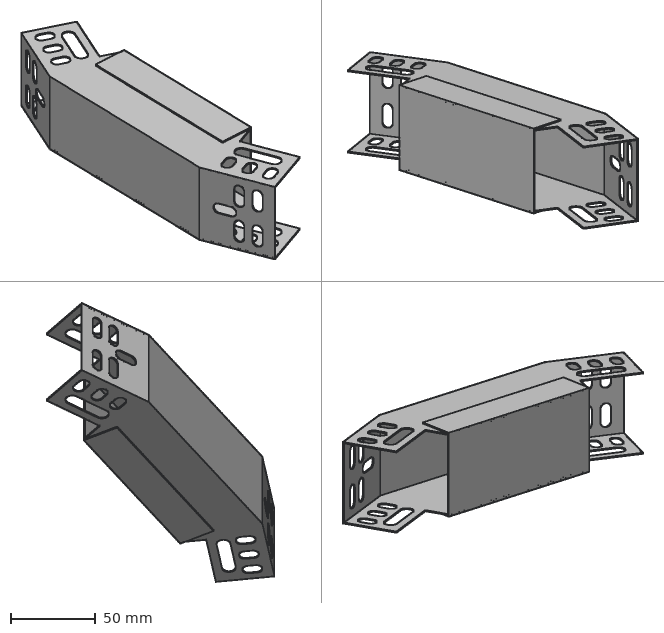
import cadquery as cq
import math

overall_length = 221.8
overall_height = 53.2
sheet = 0.8

arm_angle = 22.5
bend_x = 65.5
flange_width = 35.0
arm_flange_length = 39.3

cover_length = 111.1
cover_back_y = 50.5
cover_flange_depth = 22.8

short_slot_width = 6.9
short_slot_length = 11.8
short_slot_end_distance = 8.5
short_slot_pitch = 13.5
short_slot_count = 3
short_slot_offset = 12.0
long_slot_width = 8.2
long_slot_length = 30.0
long_slot_end_distance = 22.8
long_slot_offset = 25.5

upright_slot_width = 6.7
upright_slot_length = 15.0
upright_slot_end_distances = (11.3, 23.3)
upright_slot_z = 12.5
level_slot_width = 6.9
level_slot_length = 14.9
level_slot_end_distance = 32.5

angle = math.radians(arm_angle)
channel_height = overall_height - 2 * sheet
channel_back_y = cover_back_y - sheet
arm_length = (overall_length / 2 - bend_x) / math.cos(angle)
clear = 11.0


def arm_point(along, across):
    """XY point of the right arm: along its web from the bend, across toward the rear."""
    x = bend_x + along * math.cos(angle) - across * math.sin(angle)
    y = along * math.sin(angle) + across * math.cos(angle)
    return (x, y)


def mirrored_prism(right_points, height):
    """Prism about mid-height; its outline is the right half plus its mirror image."""
    left_points = [(-x, y) for x, y in reversed(right_points)]
    outline = cq.Workplane("XY").polyline(right_points + left_points).close()
    return outline.extrude(height / 2, both=True)


def channel_blank():
    """Bent U channel: web at the front, flanges above and below, open at the rear."""
    notch = arm_point(arm_length - arm_flange_length, flange_width)
    notch_top_x = notch[0] - (channel_back_y - notch[1]) * math.tan(angle)
    outer = [
        (bend_x, 0),
        arm_point(arm_length, 0),
        arm_point(arm_length, flange_width),
        notch,
        (notch_top_x, channel_back_y),
    ]
    inner = [
        (bend_x - sheet * math.tan(angle / 2), sheet),
        arm_point(arm_length + clear, sheet),
        arm_point(arm_length + clear, flange_width + clear),
    ]
    cavity = mirrored_prism(inner, channel_height - 2 * sheet)
    return mirrored_prism(outer, channel_height).cut(cavity)


def flange_slots():
    """Cutters through both flanges of the right arm."""
    plane = cq.Plane(
        origin=(*arm_point(arm_length, 0), 0),
        xDir=(-math.cos(angle), -math.sin(angle), 0),
        normal=(0, 0, 1),
    )
    short_centres = [
        (short_slot_end_distance + i * short_slot_pitch, -short_slot_offset)
        for i in range(short_slot_count)
    ]
    short_slots = (
        cq.Workplane(plane)
        .pushPoints(short_centres)
        .slot2D(short_slot_length, short_slot_width, 90)
        .extrude(channel_height, both=True)
    )
    long_slot = (
        cq.Workplane(plane)
        .center(long_slot_end_distance, -long_slot_offset)
        .slot2D(long_slot_length, long_slot_width)
        .extrude(channel_height, both=True)
    )
    return short_slots.add(long_slot).combine()


def web_slots():
    """Cutters through the web of the right arm."""
    plane = cq.Plane(
        origin=(*arm_point(arm_length, 0), 0),
        xDir=(-math.cos(angle), -math.sin(angle), 0),
        normal=(-math.sin(angle), math.cos(angle), 0),
    )
    upright_centres = [
        (distance, side * upright_slot_z)
        for distance in upright_slot_end_distances
        for side in (-1, 1)
    ]
    upright_slots = (
        cq.Workplane(plane)
        .pushPoints(upright_centres)
        .slot2D(upright_slot_length, upright_slot_width, 90)
        .extrude(2 * sheet, both=True)
    )
    level_slot = (
        cq.Workplane(plane)
        .center(level_slot_end_distance, 0)
        .slot2D(level_slot_length, level_slot_width)
        .extrude(2 * sheet, both=True)
    )
    return upright_slots.add(level_slot).combine()


def make_channel():
    """Bent channel with the same slots in both arms."""
    channel = channel_blank()
    for slots in (flange_slots(), web_slots()):
        channel = channel.cut(slots).cut(slots.mirror("YZ"))
    return channel


def make_cover():
    """Straight U cover closing the channel's rear, its flanges over the channel's."""
    outside = cq.Workplane("XY").box(cover_length, cover_flange_depth, overall_height)
    inside = (
        cq.Workplane("XY")
        .box(cover_length, cover_flange_depth, channel_height)
        .translate((0, -sheet, 0))
    )
    return outside.cut(inside).translate((0, cover_back_y - cover_flange_depth / 2, 0))


channel = make_channel()
cover = make_cover()

result = cq.Compound.makeCompound([channel.val(), cover.val()])